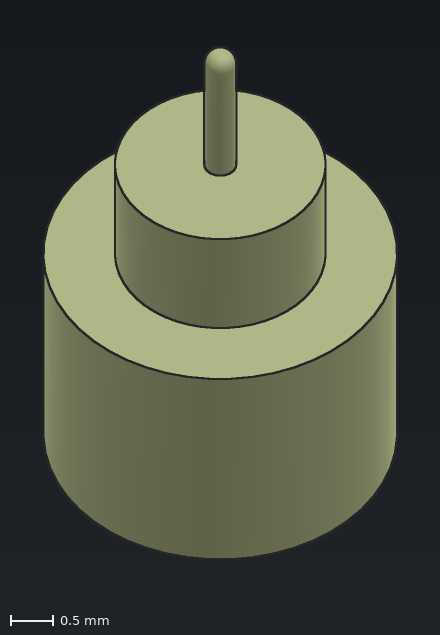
import cadquery as cq

total_height = 6.45
body_diameter = 4.2
body_height = 3.05
collar_diameter = 2.5
collar_height = 1.5
insulator_diameter = 1.95
pin_diameter = 0.38

collar_top = body_height + collar_height
pin_radius = pin_diameter / 2
pin_shaft_height = total_height - collar_top - pin_radius


def cylinder(diameter, height, base_z):
    """Solid cylinder on the Z axis, standing on base_z."""
    return cq.Workplane("XY").workplane(offset=base_z).circle(diameter / 2).extrude(height)


def shell():
    """Wide body with a narrower collar, bored down from the collar top for the insulator."""
    body = cylinder(body_diameter, body_height, 0)
    collar = cylinder(collar_diameter, collar_height, body_height)
    bore = cylinder(insulator_diameter, collar_height, body_height)
    return body.union(collar).cut(bore)


def insulator():
    """Plug filling the collar bore, flush with the collar top."""
    return cylinder(insulator_diameter, collar_height, body_height)


def pin():
    """Round contact pin with a hemispherical tip."""
    shaft = cylinder(pin_diameter, pin_shaft_height, collar_top)
    tip = cq.Workplane("XY").sphere(pin_radius).translate((0, 0, total_height - pin_radius))
    return shaft.union(tip)


result = shell().union(insulator(), clean=False).union(pin(), clean=False)